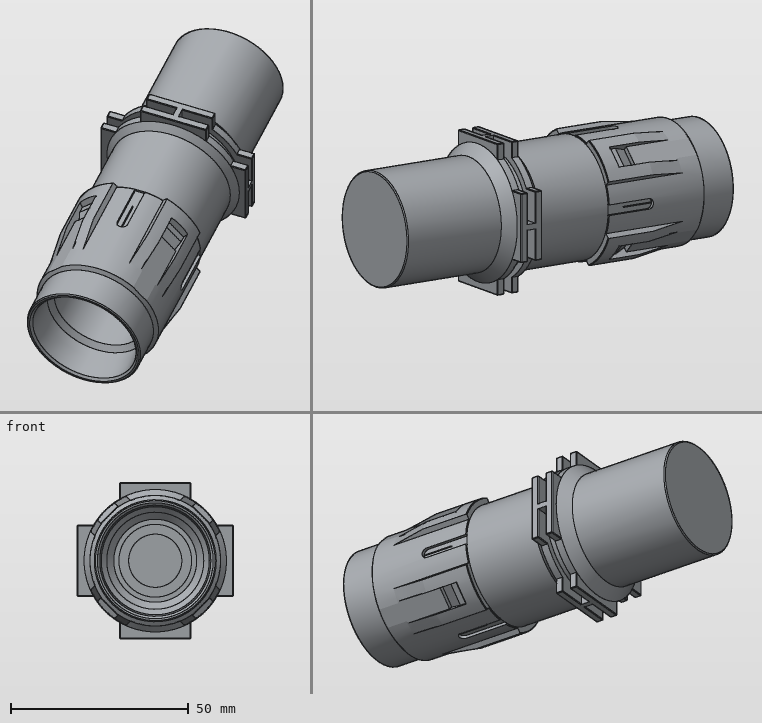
import cadquery as cq
TOTAL_LENGTH = 110.2
NOSE_END = 10.1
SLEEVE_START = 10.9
SLEEVE_END = 43.2
FRONT_CONE_START = 66.3
FLANGE_START = 68.2
FLANGE_END = 75.3
REAR_CONE_END = 78.5

NOSE_RADIUS = 17.2
SLEEVE_RADIUS = 18.4
BODY_RADIUS = 18.1
FLANGE_RADIUS = 20.1
REAR_RADIUS = 16.8
END_BREAK = 0.3
EDGE_BREAK = 0.2

MOUTH_RADIUS = 15.6
MOUTH_BREAK = 0.7
LEDGE_RADIUS = 15.2
SEAT_RADIUS = 13.7
FLOOR_RADIUS = 11.7
FLOOR_STEP_RADII = (10.2, 7.5)
LEDGE_START = 10.6
LEDGE_END = 12.1
BORE_DEPTH = 66.1
FLOOR_CONE_LENGTH = 2.0
FLOOR_STEP_DEPTH = 2.2

PLATE_REACH = 21.98
PLATE_HALF_WIDTH = 10.0
GAP_WIDTH = 2.5
RIB_WIDTH = 1.7
PLATE_THICKNESS = (FLANGE_END - FLANGE_START - GAP_WIDTH) / 2

SIDES = 4
PAD_RADIUS = 20.0
PAD_HALF_WIDTH = 7.0
PAD_RAMP_START = 17.4
PAD_RAMP_END = 28.1
PAD_ANGLE = 45.0

CHANNEL_HALF_WIDTH = 3.4
CHANNEL_FLOOR = 18.2
WINDOW_START = 32.0
WINDOW_FLOOR = 16.6
LATCH_START = 35.7
LATCH_END = 37.7
LATCH_HEIGHT = 18.3
WINDOW_END = 38.5

GROOVE_WIDTH = 3.1
GROOVE_START = 28.1
GROOVE_FLOOR = 17.4
SLIT_WIDTH = 0.2
SLIT_END = 37.5
SLIT_FLOOR = 17.0


def revolve_about_y(points):
    """Revolve a closed (radius, y) outline about the Y axis."""
    return cq.Workplane("XY").polyline(points).close().revolve(360, (0, 0, 0), (0, 1, 0))


def slab_along_side(points, half_width):
    """Extrude a (y, z) outline symmetrically across X."""
    return cq.Workplane("YZ").polyline(points).close().extrude(half_width, both=True)


def around_axis(shape, start_angle=0.0):
    """Return copies of a shape placed on the four sides of the Y axis."""
    step = 360.0 / SIDES
    return [shape.rotate((0, 0, 0), (0, 1, 0), start_angle + step * i) for i in range(SIDES)]


def make_body():
    return revolve_about_y([
        (0, 0),
        (NOSE_RADIUS - END_BREAK, 0),
        (NOSE_RADIUS, END_BREAK),
        (NOSE_RADIUS, NOSE_END),
        (SLEEVE_RADIUS, SLEEVE_START),
        (SLEEVE_RADIUS, SLEEVE_END - EDGE_BREAK),
        (SLEEVE_RADIUS - EDGE_BREAK, SLEEVE_END),
        (BODY_RADIUS, SLEEVE_END),
        (BODY_RADIUS, FRONT_CONE_START),
        (FLANGE_RADIUS, FLANGE_START),
        (FLANGE_RADIUS, FLANGE_START + PLATE_THICKNESS),
        (BODY_RADIUS, FLANGE_START + PLATE_THICKNESS),
        (BODY_RADIUS, FLANGE_END - PLATE_THICKNESS),
        (FLANGE_RADIUS, FLANGE_END - PLATE_THICKNESS),
        (FLANGE_RADIUS, FLANGE_END),
        (REAR_RADIUS, REAR_CONE_END),
        (REAR_RADIUS, TOTAL_LENGTH - END_BREAK),
        (REAR_RADIUS - END_BREAK, TOTAL_LENGTH),
        (0, TOTAL_LENGTH),
    ])


def make_bore():
    outline = [
        (0, 0),
        (MOUTH_RADIUS + MOUTH_BREAK, 0),
        (MOUTH_RADIUS, MOUTH_BREAK),
        (LEDGE_RADIUS, LEDGE_START),
        (SEAT_RADIUS, LEDGE_END),
        (SEAT_RADIUS, BORE_DEPTH - FLOOR_CONE_LENGTH),
        (FLOOR_RADIUS, BORE_DEPTH),
    ]
    depth = BORE_DEPTH
    for radius in FLOOR_STEP_RADII:
        outline.append((radius, depth))
        depth += FLOOR_STEP_DEPTH
        outline.append((radius, depth))
    outline.append((0, depth))
    return revolve_about_y(outline)


def make_plate(front):
    """One plate of a pair, reaching from the axis and with broken outer edges."""
    return (
        cq.Workplane("XZ", origin=(0, front + PLATE_THICKNESS, 0))
        .rect(2 * PLATE_HALF_WIDTH, PLATE_REACH)
        .extrude(PLATE_THICKNESS)
        .translate((0, 0, PLATE_REACH / 2))
        .edges("|Z or >Z")
        .chamfer(EDGE_BREAK)
    )


def make_plate_pair():
    """Two parallel plates joined by a rib in the middle of the gap."""
    rib = slab_along_side([
        (FLANGE_START + EDGE_BREAK, 0),
        (FLANGE_END - EDGE_BREAK, 0),
        (FLANGE_END - EDGE_BREAK, PLATE_REACH),
        (FLANGE_START + EDGE_BREAK, PLATE_REACH),
    ], RIB_WIDTH / 2)
    front_plate = make_plate(FLANGE_START)
    rear_plate = make_plate(FLANGE_END - PLATE_THICKNESS)
    return front_plate.union(rear_plate).union(rib)


def make_pad():
    """Raised pad with a conical ramp at its front."""
    ring = revolve_about_y([
        (BODY_RADIUS - 1.1, PAD_RAMP_START),
        (SLEEVE_RADIUS, PAD_RAMP_START),
        (PAD_RADIUS, PAD_RAMP_END),
        (PAD_RADIUS, SLEEVE_END - EDGE_BREAK),
        (PAD_RADIUS - EDGE_BREAK, SLEEVE_END),
        (BODY_RADIUS - 1.1, SLEEVE_END),
    ])
    strip = slab_along_side(
        [(0, 0), (TOTAL_LENGTH, 0), (TOTAL_LENGTH, PLATE_REACH), (0, PLATE_REACH)],
        PAD_HALF_WIDTH,
    )
    return ring.intersect(strip)


def make_channel():
    """Channel that opens to the front and ends in a window with a latch."""
    return slab_along_side([
        (NOSE_END, CHANNEL_FLOOR),
        (WINDOW_START, CHANNEL_FLOOR),
        (WINDOW_START, WINDOW_FLOOR),
        (LATCH_START, LATCH_HEIGHT),
        (LATCH_END, LATCH_HEIGHT),
        (WINDOW_END, PAD_RADIUS),
        (WINDOW_END, PLATE_REACH),
        (NOSE_END, PLATE_REACH),
    ], CHANNEL_HALF_WIDTH)


def make_groove():
    half_width = GROOVE_WIDTH / 2
    arc_start = GROOVE_START + half_width
    return (
        cq.Workplane("XY")
        .workplane(offset=GROOVE_FLOOR)
        .moveTo(-half_width, SLEEVE_END)
        .lineTo(-half_width, arc_start)
        .threePointArc((0, GROOVE_START), (half_width, arc_start))
        .lineTo(half_width, SLEEVE_END)
        .close()
        .extrude(PLATE_REACH - GROOVE_FLOOR)
    )


def make_slit():
    """Fine slit along the middle of a groove floor."""
    return slab_along_side([
        (GROOVE_START, SLIT_FLOOR),
        (SLIT_END, SLIT_FLOOR),
        (SLIT_END, GROOVE_FLOOR),
        (GROOVE_START, GROOVE_FLOOR),
    ], SLIT_WIDTH / 2)


result = make_body()
for plate_pair in around_axis(make_plate_pair()):
    result = result.union(plate_pair)
for pad in around_axis(make_pad(), PAD_ANGLE):
    result = result.union(pad)
for channel in around_axis(make_channel(), PAD_ANGLE):
    result = result.cut(channel)
for groove in around_axis(make_groove().union(make_slit())):
    result = result.cut(groove)
result = result.cut(make_bore())